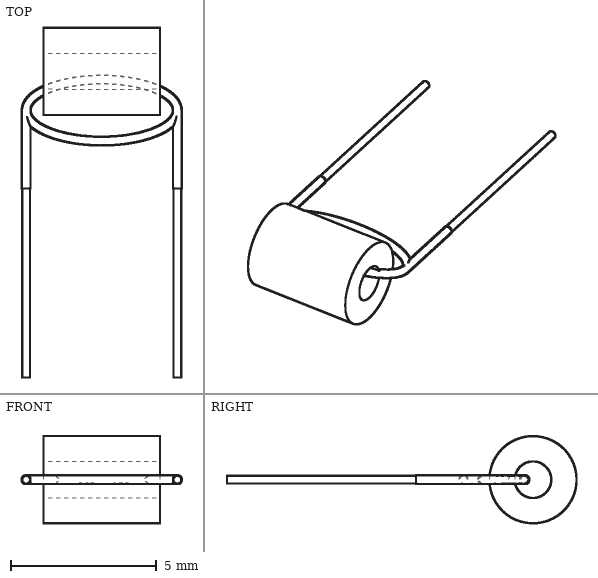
import cadquery as cq

bead_length = 4.0
bead_diameter = 3.0
bead_bore = 1.25

insulation_diameter = 0.31
conductor_diameter = 0.28
overall_width = 5.5
overall_length = 12.0
loop_half_width = (overall_width - insulation_diameter) / 2
loop_half_depth = 1.05
loop_center_y = -1.33
sleeve_end_y = -4.01
lead_end_y = bead_diameter / 2 - overall_length


def make_half_loop(diameter, side):
    """Half of the elliptical loop, on the +Y (side = 1) or -Y (side = -1) side."""
    start_angle = 0 if side > 0 else 180
    path = cq.Workplane("XY", origin=(0, loop_center_y, 0)).ellipseArc(
        loop_half_width,
        loop_half_depth,
        start_angle,
        start_angle + 180,
        startAtCurrent=False,
    )
    return (
        cq.Workplane("XZ", origin=(side * loop_half_width, loop_center_y, 0))
        .circle(diameter / 2)
        .sweep(path)
    )


def make_leg(diameter, side, end_y):
    """Straight round leg from one end of the loop to end_y."""
    return (
        cq.Workplane("XZ", origin=(side * loop_half_width, loop_center_y, 0))
        .circle(diameter / 2)
        .extrude(loop_center_y - end_y)
    )


def make_winding(diameter, end_y):
    """Both loop halves and both legs as one round-section solid."""
    winding = make_half_loop(diameter, 1).union(make_half_loop(diameter, -1))
    for side in (-1, 1):
        winding = winding.union(make_leg(diameter, side, end_y))
    return winding


def make_conductor():
    """Bare wire, running inside the insulation and out to the lead ends."""
    return make_winding(conductor_diameter, lead_end_y)


def make_insulation(conductor):
    """Coating around the loop and the upper part of each leg."""
    return make_winding(insulation_diameter, sleeve_end_y).cut(conductor)


def make_bead():
    """Tube with a relief where the +Y half of the loop presses into the bore wall."""
    tube = (
        cq.Workplane("YZ", origin=(-bead_length / 2, 0, 0))
        .circle(bead_diameter / 2)
        .circle(bead_bore / 2)
        .extrude(bead_length)
    )
    return tube.cut(make_half_loop(insulation_diameter, 1))


conductor = make_conductor()
insulation = make_insulation(conductor)
bead = make_bead()

result = cq.Compound.makeCompound([bead.val(), insulation.val(), conductor.val()])